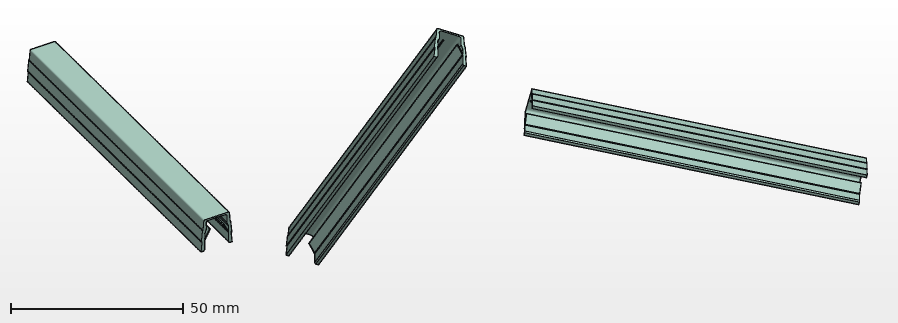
import cadquery as cq

length = 100.0
height = 11.0
width = 10.5
top_half_width = 4.3
top_thickness = 0.6
outer_corner_radius = 0.5
inner_corner_radius = 0.8

bend_height = 7.4
bend_half_width = 4.6
bend_step_depth = 0.16
step_height = 3.5
step_width = 10.3
step_depth = 0.25
upper_inner_half_width = 3.5
lower_inner_half_width = 4.0
lower_inner_height = 6.0
foot_chamfer_width = 0.3
foot_chamfer_height = 0.5

barb_root_half_width = 4.1
barb_root_height = 3.5
barb_tip_half_width = 2.1
barb_tip_height = 7.1
barb_root_rise = 0.5
barb_tip_width = 0.3
barb_tip_rise = 0.2


def mirrored_outline(right_side):
    """Close a right-hand chain of (y, z) points with its mirror image."""
    left_side = [(-y, z) for y, z in reversed(right_side)]
    return right_side + left_side


def extrude_outline(points):
    return cq.Workplane("YZ").polyline(points).close().extrude(length)


def make_channel():
    outside = extrude_outline(mirrored_outline([
        (width / 2, 0),
        (step_width / 2 - step_depth, step_height),
        (step_width / 2, step_height),
        (bend_half_width + bend_step_depth, bend_height),
        (bend_half_width, bend_height),
        (top_half_width, height),
    ]))
    outside = outside.faces(">Z").edges("|X").fillet(outer_corner_radius)

    cavity = extrude_outline(mirrored_outline([
        (lower_inner_half_width + foot_chamfer_width, 0),
        (lower_inner_half_width, foot_chamfer_height),
        (lower_inner_half_width, lower_inner_height),
        (upper_inner_half_width, bend_height),
        (upper_inner_half_width, height - top_thickness),
    ]))
    cavity = cavity.faces(">Z").edges("|X").fillet(inner_corner_radius)
    return outside.cut(cavity)


def make_barb(side):
    """Make the barb on the wall at +Y (side = 1) or -Y (side = -1)."""
    return extrude_outline([
        (side * barb_root_half_width, barb_root_height),
        (side * barb_tip_half_width, barb_tip_height),
        (side * (barb_tip_half_width + barb_tip_width), barb_tip_height + barb_tip_rise),
        (side * barb_root_half_width, barb_root_height + barb_root_rise),
    ])


result = make_channel()
for side in (-1, 1):
    result = result.union(make_barb(side))